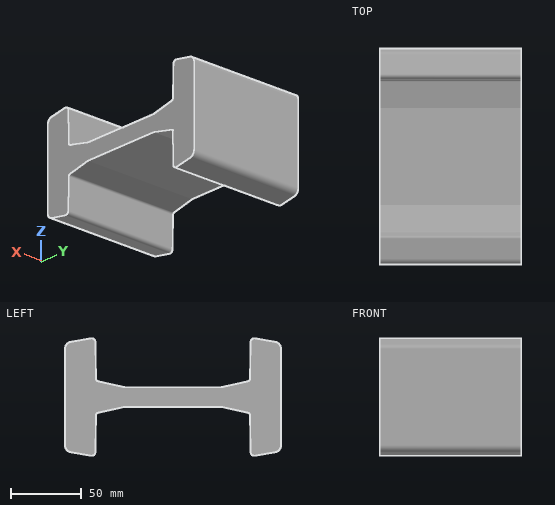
import cadquery as cq
import math

LENGTH = 100.0
DEPTH = 152.4
HEIGHT = 83.0

WEB_THICKNESS = 14.1
WEB_FLAT_WIDTH = 68.4
RAMP_ANGLE = math.radians(12.5)

FLANGE_TIP_THICKNESS = 21.6
TIP_SLOPE = math.radians(10.0)
INNER_DRAFT = math.radians(1.0)

CREST_RADIUS = 2.8
OUTER_RADIUS = 5.0
ROOT_RADIUS = 1.7


def tip_corner():
    """Sharp inner corner of a flange tip, placed so the rounded crest just reaches the full height."""
    center_y = DEPTH / 2 - FLANGE_TIP_THICKNESS + CREST_RADIUS
    center_z = HEIGHT / 2 - CREST_RADIUS
    half_corner_angle = (math.pi / 2 - TIP_SLOPE + INNER_DRAFT) / 2
    bisector_angle = (math.pi / 2 + TIP_SLOPE + INNER_DRAFT) / 2
    corner_distance = CREST_RADIUS / math.sin(half_corner_angle)
    return (
        center_y - corner_distance * math.cos(bisector_angle),
        center_z + corner_distance * math.sin(bisector_angle),
    )


def outer_corner(tip):
    """Sharp corner where the sloped flange tip meets the outer face."""
    tip_y, tip_z = tip
    outer_y = DEPTH / 2
    return outer_y, tip_z - (outer_y - tip_y) * math.tan(TIP_SLOPE)


def root_corner(tip):
    """Sharp corner where the drafted inner face meets the web ramp."""
    tip_y, tip_z = tip
    ramp_start_y = WEB_FLAT_WIDTH / 2
    ramp_start_z = WEB_THICKNESS / 2
    ramp_rise = math.tan(RAMP_ANGLE)
    draft_run = math.tan(INNER_DRAFT)
    ramp_z_at_tip = ramp_start_z + (tip_y - ramp_start_y) * ramp_rise
    drop = (tip_z - ramp_z_at_tip) / (1 - ramp_rise * draft_run)
    return tip_y - drop * draft_run, tip_z - drop


def mirrored(corner):
    """The four copies of a corner in the symmetric cross-section."""
    y, z = corner
    return [(side * y, half * z) for side in (1, -1) for half in (1, -1)]


def round_corners(body, corner, radius):
    """Round the lengthwise edges at all four copies of a corner."""
    for y, z in mirrored(corner):
        edge = body.edges(cq.selectors.NearestToPointSelector((0, y, z)))
        body = edge.fillet(radius)
    return body


def make_beam():
    tip = tip_corner()
    outer = outer_corner(tip)
    root = root_corner(tip)
    ramp_start = (WEB_FLAT_WIDTH / 2, WEB_THICKNESS / 2)

    quarter = [ramp_start, root, tip, outer]
    upper = [(-y, z) for y, z in reversed(quarter)] + quarter
    lower = [(y, -z) for y, z in reversed(upper)]
    body = cq.Workplane("YZ").polyline(upper + lower).close().extrude(LENGTH / 2, both=True)

    body = round_corners(body, tip, CREST_RADIUS)
    body = round_corners(body, outer, OUTER_RADIUS)
    return round_corners(body, root, ROOT_RADIUS)


result = make_beam()